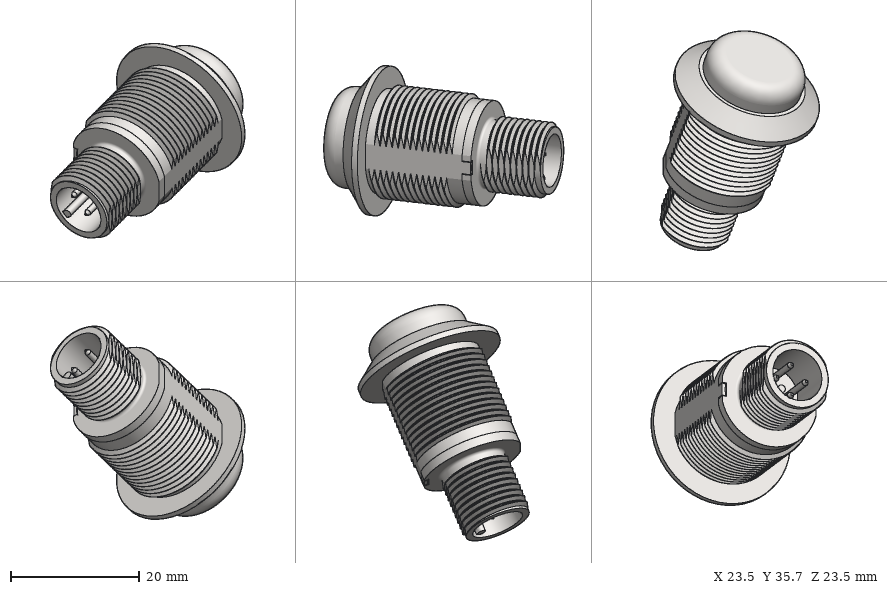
import cadquery as cq
import math


collar_radius = 11.75
collar_thickness = 0.95
collar_height = 3.5
cone_top_radius = 8.65
barrel_length = 16.0
barrel_radius = 8.28
barrel_thread_radius = 8.95
barrel_flat = 8.03
barrel_thread_start = 13.95
barrel_thread_turns = 13

button_radius = 8.0
button_top = 7.7
button_rounding = 2.5

disc_thickness = 1.5
plug_end = 28.0
neck_radius = 5.3
neck_thread_radius = 5.97
neck_flat = neck_radius
neck_fillet = 0.45
neck_thread_start = 27.5
neck_thread_turns = 9
socket_radius = 4.18
socket_depth = 9.0

key_radius = 0.6
key_centre_radius = 3.44
key_setback = 0.55
key_angle = 225

notch_half_width = 1.1
notch_floor = 7.3
tab_half_width = 1.0
tab_inner_radius = 7.5
tab_length = disc_thickness - 0.1

pin_count = 4
pin_radius = 0.5
pin_circle_radius = 2.5
pin_point_inset = 0.3
pin_point_length = 0.6
pin_setback = 2.0

pitch = 1.0
thread_base_width = 0.9
thread_crest_width = 0.08
thread_embed = 0.05


def xz_plane(y):
    """A plane across the axis at height y, with its normal along -Y."""
    return cq.Workplane("XZ", origin=(0, y, 0))


def disc(radius, y_low, y_high):
    return xz_plane(y_high).circle(radius).extrude(y_high - y_low)


def box(x_low, x_high, y_low, y_high, half_height):
    size = (x_high - x_low, y_high - y_low, 2 * half_height)
    return cq.Workplane().box(*size, centered=(False, False, True)).translate((x_low, y_low, 0))


def thread(root_radius, crest_radius, start, turns):
    """A right-handed helical ridge that begins on the -X side at y = -start and climbs along +Y."""
    slope = (thread_base_width - thread_crest_width) / (crest_radius - root_radius)
    inner_radius = root_radius - thread_embed
    half_inner = (thread_base_width + slope * thread_embed) / 2
    half_crest = thread_crest_width / 2
    helix = cq.Wire.makeHelix(pitch, turns * pitch, inner_radius)
    profile = [
        (inner_radius, -half_inner),
        (crest_radius, -half_crest),
        (crest_radius, half_crest),
        (inner_radius, half_inner),
    ]
    ridge = cq.Workplane("XZ").polyline(profile).close().sweep(cq.Workplane(helix), isFrenet=True)
    ridge = ridge.rotate((0, 0, 0), (0, 0, 1), 180)
    return ridge.rotate((0, 0, 0), (1, 0, 0), -90).translate((0, -start, 0))


def make_housing():
    outline = [
        (0, -barrel_length),
        (barrel_radius, -barrel_length),
        (barrel_radius, 0),
        (collar_radius, 0),
        (collar_radius, collar_thickness),
        (cone_top_radius, collar_height),
        (0, collar_height),
    ]
    body = cq.Workplane().polyline(outline).close().revolve(360, (0, 0), (0, 1))
    body = body.union(thread(barrel_radius, barrel_thread_radius, barrel_thread_start, barrel_thread_turns))
    for side in (0, 180):
        flat_cut = box(barrel_flat, collar_radius, -barrel_length, 0, collar_radius)
        body = body.cut(flat_cut.rotate((0, 0, 0), (0, 1, 0), side))
    tab_end = -barrel_length - tab_length
    tab = box(-barrel_flat, -notch_floor, tab_end, -barrel_length, tab_half_width)
    tab = tab.cut(disc(tab_inner_radius, tab_end, -barrel_length))
    return body.union(tab)


def make_button():
    return disc(button_radius, collar_height, button_top).faces(">Y").edges().fillet(button_rounding)


def make_plug():
    disc_end = -barrel_length - disc_thickness
    fillet_end = disc_end - neck_fillet
    neck = (
        cq.Workplane()
        .moveTo(0, disc_end)
        .lineTo(neck_radius + neck_fillet, disc_end)
        .radiusArc((neck_radius, fillet_end), -neck_fillet)
        .lineTo(neck_radius, -plug_end)
        .lineTo(0, -plug_end)
        .close()
        .revolve(360, (0, 0), (0, 1))
    )
    neck = neck.union(thread(neck_radius, neck_thread_radius, neck_thread_start, neck_thread_turns))
    for side in (0, 180):
        flat_cut = box(neck_flat, barrel_radius, -plug_end, fillet_end, barrel_radius)
        neck = neck.cut(flat_cut.rotate((0, 0, 0), (0, 1, 0), side))

    flange = disc(barrel_radius, disc_end, -barrel_length)
    flange = flange.intersect(box(-barrel_flat, barrel_flat, disc_end, -barrel_length, barrel_radius))
    flange = flange.cut(box(-barrel_flat, -notch_floor, disc_end, -barrel_length, notch_half_width))

    socket_floor = socket_depth - plug_end
    socket = disc(socket_radius, -plug_end, socket_floor)
    return flange.union(neck).cut(socket).union(make_key(socket_floor))


def make_key(socket_floor):
    """The ridge along the socket wall, running into the wall on its outer side."""
    key_end = key_setback - plug_end
    wall_radius = (socket_radius + neck_radius) / 2
    round_edge = disc(key_radius, key_end, socket_floor).translate((key_centre_radius, 0, 0))
    web = box(key_centre_radius, wall_radius, key_end, socket_floor, key_radius)
    return round_edge.union(web).rotate((0, 0, 0), (0, 1, 0), -key_angle)


def make_pin(angle):
    pin = disc(pin_radius, pin_setback - plug_end, socket_depth - plug_end)
    pin = pin.faces("<Y").chamfer(pin_point_length, pin_point_inset)
    x = pin_circle_radius * math.cos(math.radians(angle))
    z = pin_circle_radius * math.sin(math.radians(angle))
    return pin.translate((x, 0, z))


housing = make_housing()
button = make_button()
plug = make_plug()
pins = [make_pin(index * 360 / pin_count) for index in range(pin_count)]

result = cq.Compound.makeCompound(
    [body.solids().val() for body in (housing, button, plug, *pins)]
)